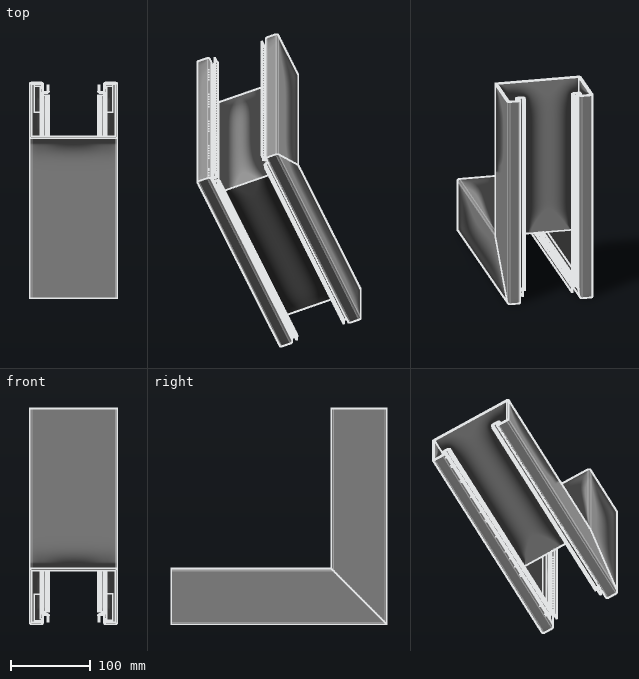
import cadquery as cq

leg_length = 270.0
width = 110.0
depth = 70.0

wall = 2.5
web = 3.0
outer_radius = 2.7
lip_width = 17.0
return_thickness = 1.5
return_height = 9.2

plate_outer = 13.5
plate_inner = 16.0
plate_bottom = 6.8
plate_bevel = 1.0
flange_top = 13.8
flange_bottom = 11.3
flange_setback = 15.7
relief_start = 16.7
relief_end = 17.8
relief_skin = 0.8
step_start = 20.5
step_depth = 0.3
nose_start = 22.0
nose_tip = 24.5
tab_start = 22.5
tab_thickness = 1.4
tab_bottom = 3.5

bracket_inset = 5.7
bracket_thickness = 2.2
bracket_reach = 37.5
right_bracket_lift = 0.8

half_width = width / 2
lip_inner = lip_width - return_thickness
left, right = -1, 1


def leg_block(block_width, length, height, base):
    """Block centred across the leg, running from the corner along -Y, standing on the base height."""
    block = cq.Workplane("XY").box(block_width, length, height, centered=(True, False, False))
    return block.translate((0, -length, base))


def leg_extrusion(outline, side):
    """Extrude an outline of (distance in from the side, height) points along the whole leg."""
    section = [(side * (half_width - inset), height) for inset, height in outline]
    return cq.Workplane("XZ").polyline(section).close().extrude(leg_length)


def plain_channel():
    """Open channel with a mouth between two lips; the mouth faces -Z."""
    body = leg_block(width, leg_length, depth, 0).edges("|Y").fillet(outer_radius)
    cavity = leg_block(width - 2 * wall, leg_length, depth - wall - web, wall)
    mouth = leg_block(width - 2 * lip_width, leg_length, wall, 0)
    return body.cut(cavity).cut(mouth)


def lip_return(side):
    """Upturned edge of a lip."""
    return leg_extrusion(
        [(lip_inner, 0), (lip_width, 0), (lip_width, return_height), (lip_inner, return_height)],
        side,
    )


def lip_rounding(side):
    """Waste outside the rounded outer corner of a lip."""
    corner = leg_extrusion(
        [
            (lip_width - outer_radius, 0),
            (lip_width, 0),
            (lip_width, outer_radius),
            (lip_width - outer_radius, outer_radius),
        ],
        side,
    )
    arc_centre = (side * (half_width - lip_width + outer_radius), outer_radius)
    rod = cq.Workplane("XZ").center(*arc_centre).circle(outer_radius).extrude(leg_length)
    return corner.cut(rod)


def rail_plate(side):
    return leg_extrusion(
        [
            (plate_outer, plate_bottom),
            (plate_inner, plate_bottom),
            (plate_inner, flange_top),
            (plate_outer + plate_bevel, flange_top),
            (plate_outer, flange_top - plate_bevel),
        ],
        side,
    )


def rail_flange(side):
    """Flange with a relief groove below, a shallow step on top, a sloping nose and a hanging tab."""
    relief_top = flange_top - relief_skin
    step_level = flange_top - step_depth
    tab_end = tab_start + tab_thickness
    flange = leg_extrusion(
        [
            (plate_inner, flange_bottom),
            (relief_start, flange_bottom),
            (relief_start, relief_top),
            (relief_end, relief_top),
            (relief_end, flange_bottom),
            (tab_start, flange_bottom),
            (tab_start, tab_bottom),
            (tab_end, tab_bottom),
            (tab_end, flange_bottom),
            (nose_tip, flange_bottom),
            (nose_start, step_level),
            (step_start, step_level),
            (step_start, flange_top),
            (plate_inner, flange_top),
        ],
        side,
    )
    corner_gap = leg_block(width, flange_setback, depth, 0)
    return flange.cut(corner_gap)


def mitre_wedge():
    """Space of the horizontal leg, below the 45 degree plane through the corner edge."""
    triangle = [(0, 0), (-leg_length, leg_length), (-leg_length, 0)]
    return cq.Workplane("YZ").polyline(triangle).close().extrude(half_width, both=True)


def make_channel():
    """Horizontal leg with its rails, mitred at the corner."""
    channel = plain_channel()
    for side in (left, right):
        channel = channel.union(lip_return(side)).cut(lip_rounding(side))
        channel = channel.union(rail_plate(side)).union(rail_flange(side))
    return channel.intersect(mitre_wedge())


def make_bracket(side, lift):
    """L-shaped strip lying against the insides of the lips of both legs."""
    near = wall
    far = wall + bracket_thickness
    outline = [
        (-near, near),
        (-bracket_reach, near),
        (-bracket_reach, far),
        (-far, far),
        (-far, bracket_reach),
        (-near, bracket_reach),
    ]
    strip_width = lip_inner - bracket_inset
    centre = side * (half_width - bracket_inset - strip_width / 2)
    strip = cq.Workplane("YZ").polyline(outline).close().extrude(strip_width / 2, both=True)
    return strip.translate((centre, 0, lift))


horizontal_channel = make_channel()
vertical_channel = horizontal_channel.mirror(cq.Vector(0, 1, 1))
bracket_lifts = {left: 0, right: right_bracket_lift}
brackets = [make_bracket(side, lift).val() for side, lift in bracket_lifts.items()]

result = cq.Compound.makeCompound([horizontal_channel.val(), vertical_channel.val(), *brackets])